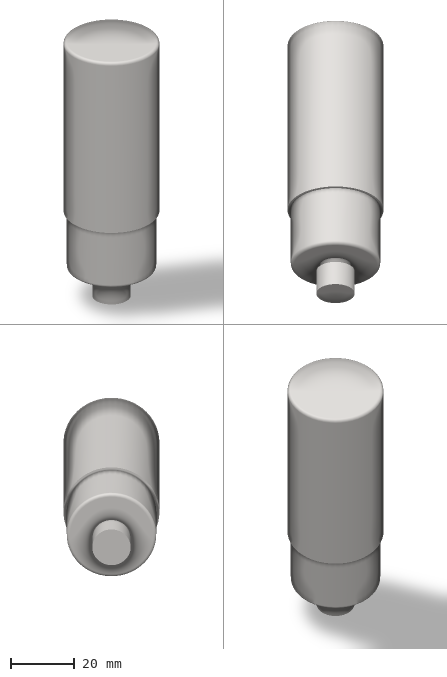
import cadquery as cq

sleeve_diameter = 30.0
sleeve_length = 60.0
body_diameter = 28.0
body_length = 20.0
neck_diameter = 10.0
neck_length = 2.0
plug_diameter = 12.0
plug_length = 8.0
edge_radius = 1.0

neck_bottom = plug_length
body_bottom = neck_bottom + neck_length
sleeve_bottom = body_bottom + body_length


def cylinder(diameter, bottom, length):
    """Upright cylinder on the Z axis."""
    return cq.Workplane("XY").workplane(offset=bottom).circle(diameter / 2).extrude(length)


plug = cylinder(plug_diameter, 0, plug_length)
neck = cylinder(neck_diameter, neck_bottom, neck_length)

body = cylinder(body_diameter, body_bottom, body_length).faces("<Z").edges().fillet(edge_radius)

sleeve = cylinder(sleeve_diameter, sleeve_bottom, sleeve_length).faces(">Z").edges().fillet(edge_radius)

result = plug.union(neck).union(body).union(sleeve)